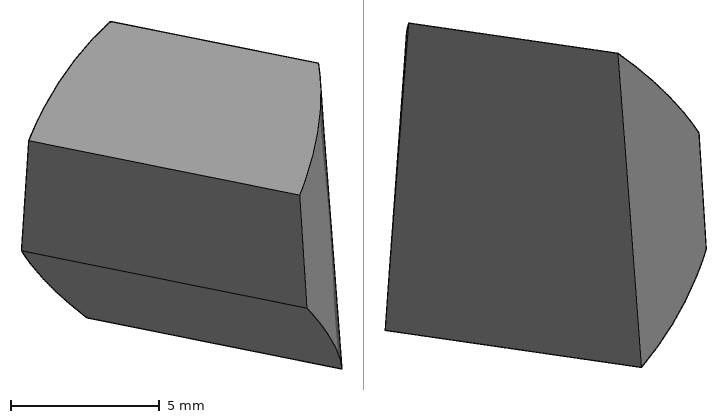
import cadquery as cq
import math

DEPTH = 3.4
BACK_HEIGHT = 10.8
SLOPE_ANGLE = 45.0
CONE_MID_RADIUS = 5.4
CONE_SETBACK = 0.4
CONE_DRAFT = 4.0

FRONT_Y = -DEPTH / 2
BACK_Y = DEPTH / 2
BACK_Z = BACK_HEIGHT / 2
FRONT_Z = BACK_Z - DEPTH / math.tan(math.radians(SLOPE_ANGLE))
CONE_AXIS_Y = FRONT_Y + CONE_SETBACK
RADIUS_CHANGE = BACK_Z * math.tan(math.radians(CONE_DRAFT))
STOCK_HALF_LENGTH = 2 * CONE_MID_RADIUS


def trapezoid_prism():
    """Prism along X with a symmetric trapezoid section in the YZ plane."""
    section = [
        (BACK_Y, -BACK_Z),
        (FRONT_Y, -FRONT_Z),
        (FRONT_Y, FRONT_Z),
        (BACK_Y, BACK_Z),
    ]
    return cq.Workplane("YZ").polyline(section).close().extrude(STOCK_HALF_LENGTH, both=True)


def end_cone():
    """Upright cone, wider at the bottom, whose wall forms both rounded ends."""
    cone = cq.Solid.makeCone(
        CONE_MID_RADIUS + RADIUS_CHANGE,
        CONE_MID_RADIUS - RADIUS_CHANGE,
        BACK_HEIGHT,
        pnt=cq.Vector(0, CONE_AXIS_Y, -BACK_Z),
        dir=cq.Vector(0, 0, 1),
    )
    return cq.Workplane(cone)


result = trapezoid_prism().intersect(end_cone())